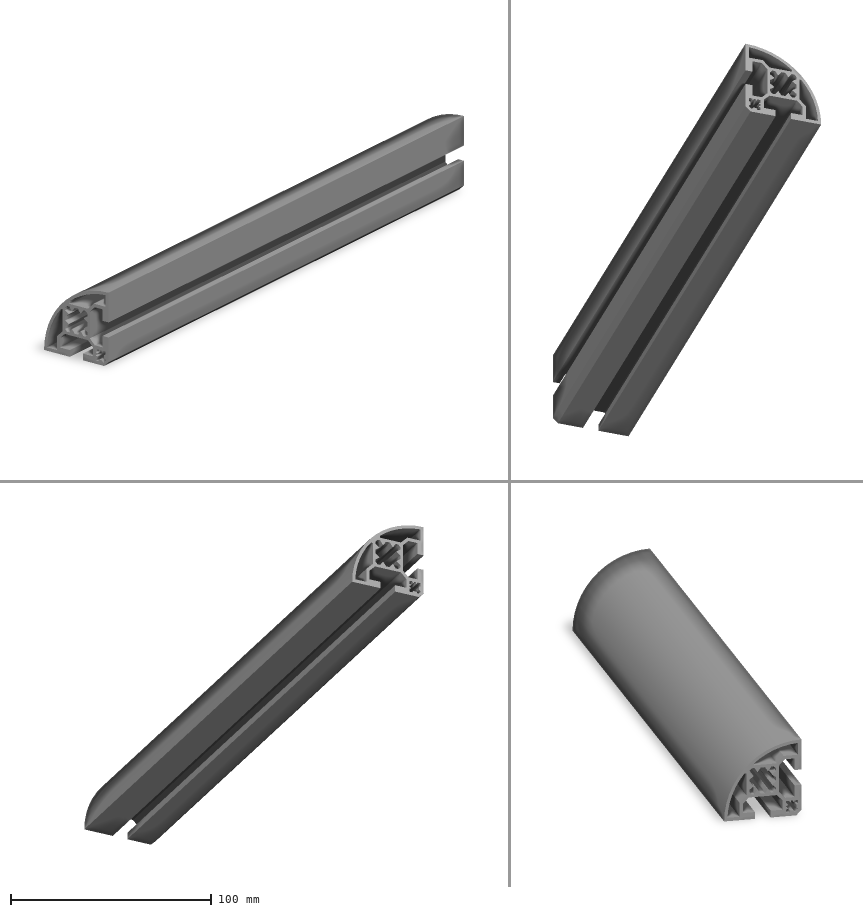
import cadquery as cq
import math

length = 300.0
section_size = 40.0
half = section_size / 2

arc_radius = section_size
skin = 1.65
corner_chamfer = 2.7

slot_opening = 8.0
lip_thickness = 3.5
chamber_width = 20.5
wall = 1.8

core_size = 16.8
core_wall = 1.5
core_chamfer = 1.2
web_offset = 1.2
void_end = 4.5

core_tooth_spacing = 5.5
core_tooth_base = 3.3
core_tooth_tip = 0.3
core_tooth_height = 2.0

channel_chamfer = 1.2
channel_tooth_spacing = 1.8
channel_tooth_base = 1.0
channel_tooth_tip = 0.3
channel_tooth_height = 1.0
channel_rib_base = 2.7
channel_rib_tip = 1.8

core_half = core_size / 2
chamber_half = chamber_width / 2
chamber_outer = chamber_half + wall
slot_half = slot_opening / 2
lip_inner = half - lip_thickness
wall_inner = half - wall
corner = (half, -half)


def mirrored(point):
    """Reflect a section point in the symmetry diagonal."""
    x, z = point
    return (-z, -x)


def arc_height(radius, x):
    """Z on a circle about the square corner at the given X."""
    return corner[1] + math.sqrt(radius**2 - (x - corner[0]) ** 2)


def arc_point(radius, angle):
    """Point on a circle about the square corner, angle measured from +X."""
    return (corner[0] + radius * math.cos(angle), corner[1] + radius * math.sin(angle))


def section():
    return cq.Workplane("XZ")


def bar(outline):
    """Extrude a closed outline over the full length."""
    return outline.extrude(length / 2, both=True)


def outer_body():
    outline = (
        section()
        .moveTo(half, corner_chamfer - half)
        .lineTo(half, half)
        .threePointArc(arc_point(arc_radius, math.radians(135)), (-half, -half))
        .lineTo(half - corner_chamfer, -half)
        .close()
    )
    return bar(outline)


def slot_points():
    """Slot in the +X face: narrow opening, wide chamber with bevelled back corners."""
    upper = [
        (half, slot_half),
        (lip_inner, slot_half),
        (lip_inner, chamber_half),
        (chamber_half + web_offset, chamber_half),
        (core_half, core_half - web_offset),
    ]
    lower = [(x, -z) for x, z in reversed(upper)]
    return upper + lower


def slots():
    points = slot_points()
    right = bar(section().polyline(points).close())
    bottom = bar(section().polyline([mirrored(p) for p in points]).close())
    return right.union(bottom)


def skin_void(place):
    """Hollow between the curved skin and the core; place maps each point."""
    radius = arc_radius - skin
    start = (wall_inner, arc_height(radius, wall_inner))
    end = (-void_end, arc_height(radius, -void_end))
    start_angle = math.atan2(start[1] - corner[1], start[0] - corner[0])
    end_angle = math.atan2(end[1] - corner[1], end[0] - corner[0])
    middle = arc_point(radius, (start_angle + end_angle) / 2)
    straight = [
        end,
        (-void_end, core_half),
        (core_half - web_offset, core_half),
        (chamber_outer - web_offset, chamber_outer),
        (wall_inner, chamber_outer),
        start,
    ]
    outline = section().polyline([place(p) for p in straight])
    return bar(outline.threePointArc(place(middle), place(end)).close())


def tooth(wall_distance, offset, base, tip, height):
    """Tapered tooth growing down from a wall above the origin."""
    points = [
        (offset - base / 2, wall_distance),
        (offset - tip / 2, wall_distance - height),
        (offset + tip / 2, wall_distance - height),
        (offset + base / 2, wall_distance),
    ]
    return bar(section().polyline(points).close())


def on_side(solid, quarter_turns):
    """Turn a solid from the upper wall to another wall, clockwise seen from -Y."""
    return solid.rotate((0, 0, 0), (0, 1, 0), 90 * quarter_turns)


def core_hole():
    """Square bore with chamfered corners and two teeth on every wall."""
    size = core_size - 2 * core_wall
    hole = bar(section().rect(size, size)).edges("|Y").chamfer(core_chamfer)
    for side in range(4):
        for offset in (-core_tooth_spacing / 2, core_tooth_spacing / 2):
            cutter = tooth(size / 2, offset, core_tooth_base, core_tooth_tip, core_tooth_height)
            hole = hole.cut(on_side(cutter, side))
    return hole


def channel_hole():
    """Square bore with paired teeth on its inner walls and one rib on each outer wall."""
    size = wall_inner - chamber_outer
    centre = (wall_inner + chamber_outer) / 2
    hole = bar(section().rect(size, size)).edges(">X and <Z").chamfer(channel_chamfer)
    top, right, bottom, left = range(4)
    for side in (top, left):
        for offset in (-channel_tooth_spacing / 2, channel_tooth_spacing / 2):
            cutter = tooth(
                size / 2, offset, channel_tooth_base, channel_tooth_tip, channel_tooth_height
            )
            hole = hole.cut(on_side(cutter, side))
    rib = tooth(size / 2, 0, channel_rib_base, channel_rib_tip, channel_tooth_height)
    for side in (right, bottom):
        hole = hole.cut(on_side(rib, side))
    return hole.translate((centre, 0, -centre))


result = (
    outer_body()
    .cut(slots())
    .cut(skin_void(lambda p: p))
    .cut(skin_void(mirrored))
    .cut(core_hole())
    .cut(channel_hole())
)